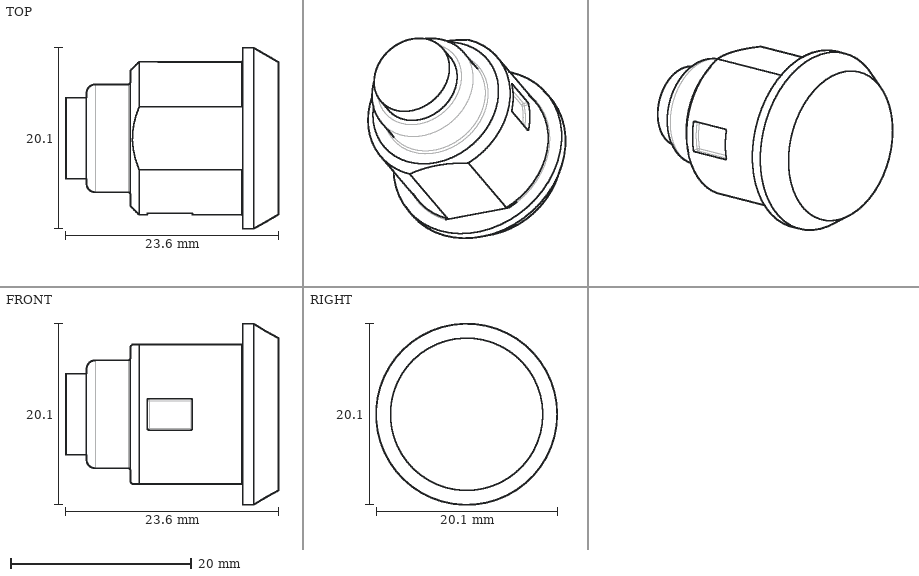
import cadquery as cq
import math

total_length = 23.6
tip_length = 2.3
neck_end = 7.15
flange_length = 4.0
rim_width = 1.2
x_min = -total_length / 2
x_max = total_length / 2
neck_x = x_min + tip_length
body_x = x_min + neck_end
flange_x = x_max - flange_length

tip_radius = 4.5
neck_radius = 6.0
body_radius = 8.5
flange_radius = 10.05

neck_round = 1.0
neck_root_fillet = 0.24
body_chamfer = 1.0
flange_root_fillet = 0.12
flange_taper_angle = 30.0

flat_half_width = 7.75

window_offset = 1.89
window_length = 5.0
window_height = 3.5
window_depth = 0.75
window_fillet = 0.2


def arc_middle(center_x, center_r, radius, angle):
    """Point of a fillet arc at the given angle in degrees about its center."""
    a = math.radians(angle)
    return center_x + radius * math.cos(a), center_r + radius * math.sin(a)


def make_turned_solid():
    taper_drop = (flange_length - rim_width) * math.tan(math.radians(flange_taper_angle))
    neck_root = (body_x - neck_root_fillet, neck_radius + neck_root_fillet)
    flange_root = (flange_x - flange_root_fillet, body_radius + flange_root_fillet)
    profile = (
        cq.Workplane("XY")
        .moveTo(x_min, 0)
        .lineTo(x_min, tip_radius)
        .lineTo(neck_x, tip_radius)
        .lineTo(neck_x, neck_radius - neck_round)
        .threePointArc(
            arc_middle(neck_x + neck_round, neck_radius - neck_round, neck_round, 135),
            (neck_x + neck_round, neck_radius),
        )
        .lineTo(neck_root[0], neck_radius)
        .threePointArc(
            arc_middle(*neck_root, neck_root_fillet, -45),
            (body_x, neck_root[1]),
        )
        .lineTo(body_x, body_radius - body_chamfer)
        .lineTo(body_x + body_chamfer, body_radius)
        .lineTo(flange_root[0], body_radius)
        .threePointArc(
            arc_middle(*flange_root, flange_root_fillet, -45),
            (flange_x, flange_root[1]),
        )
        .lineTo(flange_x, flange_radius)
        .lineTo(flange_x + rim_width, flange_radius)
        .lineTo(x_max, flange_radius - taper_drop)
        .lineTo(x_max, 0)
        .close()
    )
    return profile.revolve(360, (0, 0, 0), (1, 0, 0))


def make_flat_cutter(side):
    """Block removing the body material beyond one flat; side is +1 or -1."""
    height = flange_radius - flat_half_width
    return cq.Workplane("XY").box(
        flange_x - body_x, 2 * flange_radius, height, centered=(False, True, True)
    ).translate((body_x, 0, side * (flat_half_width + height / 2)))


def make_window_cutter():
    """Block with a curved floor concentric with the body and rounded corners and floor edges."""
    block = cq.Workplane("XY").box(
        window_length, body_radius, window_height, centered=(False, False, True)
    ).translate((body_x + window_offset, -body_radius - window_depth, 0))
    core = (
        cq.Workplane("YZ", origin=(body_x, 0, 0))
        .circle(body_radius - window_depth)
        .extrude(flange_x - body_x)
    )
    cutter = block.cut(core).edges("|Y").fillet(window_fillet)
    return cutter.faces(">Y").edges().fillet(window_fillet)


result = make_turned_solid()
for flat_side in (1, -1):
    result = result.cut(make_flat_cutter(flat_side))
result = result.cut(make_window_cutter())